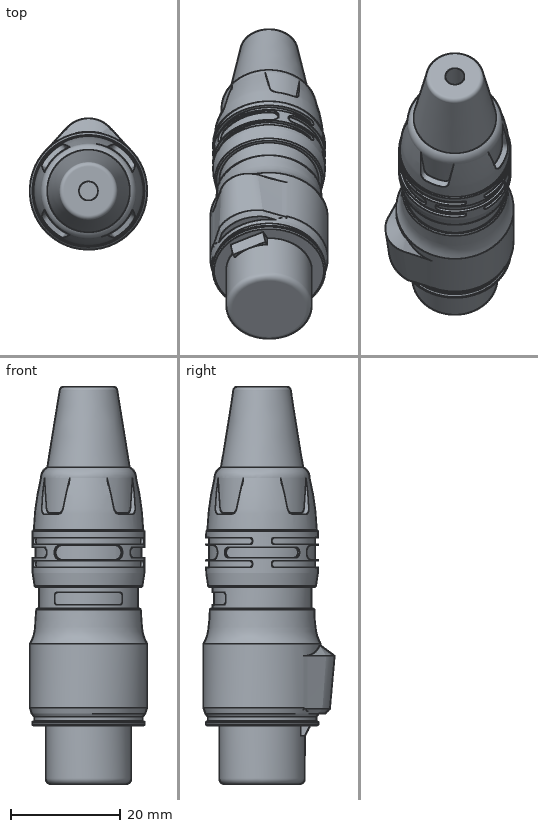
import cadquery as cq
import math

total_height = 72.95

cutter_overhang = 0.7

plug_radius = 7.9
plug_edge = 1.1

flange_bottom = 10.7
flange_top = 11.7
flange_radius = 10.35
flange_edge = 0.3
groove_radius = 10.0
groove_top = 12.4

housing_radius = 10.8
housing_chamfer_bottom = 13.0
housing_chamfer_radius = 10.4
housing_bottom = 14.1
housing_top = 25.75
flare_mid_radius = 10.15
flare_mid_z = 27.2
flare_top = 28.8
flare_top_radius = 9.85
shoulder_top = 32.3
shoulder_radius = 9.6
shoulder_edge = 0.3

neck_radius = 9.1
neck_top = 36.4

band_foot_radius = 9.9
band_edge = 0.3
band_cone_top = 38.8
band_radius = 10.3
band_top = 46.7

body_radius = 10.1
body_mid_radius = 9.6
body_mid_z = 51.6
body_top = 56.2
body_top_radius = 8.75
collar_mid_radius = 8.4
collar_mid_z = 57.4
collar_top = 58.1

boot_base_radius = 7.6
boot_top_radius = 5.3
boot_edge = 0.8
cable_hole_radius = 1.75
cable_hole_depth = 8.75

band_slot_depth = 0.5
slot_center_z = 42.5
groove_offset_z = 2.1
groove_height = 1.25
groove_half_angle = 80.0
front_slot_height = 2.6
front_slot_half_angle = 37.5
side_slot_height = 1.9
side_slot_half_angle = 42.0

plate_width = 12.4
plate_height = 2.3
plate_corner = 0.6
plate_depth = 0.3
plate_center_z = 34.05

pocket_top_width = 6.6
pocket_bottom_width = 4.7
pocket_bottom = 50.0
pocket_corner = 0.9
pocket_draft = 15.0
pocket_floor_radius = body_top_radius

latch_bottom = 13.0
latch_edge = 0.9
latch_skirt = 0.65
latch_flank_lift = 0.3
latch_foot_corner_y = 11.1
latch_foot_reach = 12.5
latch_top = 23.55
latch_top_corner_y = 11.75
latch_top_reach = 13.35
latch_tip = 25.4
latch_tip_inset = 1.3
latch_tip_corner_y = 10.65
latch_tip_reach = 10.9

rib_half_width = 3.35
rib_reach = 8.8
rib_bottom = 8.9


def turned_body():
    """Solid of revolution that carries every other feature."""
    boot_top = total_height - boot_edge
    edge_arc = boot_edge * (1 - math.sqrt(0.5))
    plug_arc = plug_edge * (1 - math.sqrt(0.5))
    profile = (
        cq.Workplane("XZ")
        .moveTo(0, 0)
        .lineTo(plug_radius - plug_edge, 0)
        .threePointArc((plug_radius - plug_arc, plug_arc), (plug_radius, plug_edge))
        .lineTo(plug_radius, flange_bottom)
        .lineTo(flange_radius - flange_edge, flange_bottom)
        .lineTo(flange_radius, flange_bottom + flange_edge)
        .lineTo(flange_radius, flange_top - flange_edge)
        .lineTo(groove_radius, flange_top)
        .lineTo(groove_radius, groove_top)
        .lineTo(housing_chamfer_radius, housing_chamfer_bottom)
        .lineTo(housing_radius, housing_bottom)
        .lineTo(housing_radius, housing_top)
        .threePointArc((flare_mid_radius, flare_mid_z), (flare_top_radius, flare_top))
        .lineTo(shoulder_radius, shoulder_top - shoulder_edge)
        .lineTo(shoulder_radius - shoulder_edge, shoulder_top)
        .lineTo(neck_radius, shoulder_top)
        .lineTo(neck_radius, neck_top - band_edge)
        .lineTo(band_foot_radius - band_edge, neck_top - band_edge)
        .lineTo(band_foot_radius, neck_top)
        .lineTo(band_radius, band_cone_top)
        .lineTo(band_radius, band_top - band_edge)
        .lineTo(body_radius, band_top)
        .threePointArc((body_mid_radius, body_mid_z), (body_top_radius, body_top))
        .threePointArc((collar_mid_radius, collar_mid_z), (boot_base_radius, collar_top))
        .lineTo(boot_top_radius, boot_top)
        .threePointArc(
            (boot_top_radius - edge_arc, total_height - edge_arc),
            (boot_top_radius - boot_edge, total_height),
        )
        .lineTo(0, total_height)
        .close()
    )
    return profile.revolve(360, (0, 0, 0), (0, 1, 0))


def annulus(inner_radius, outer_radius, center_z, height):
    """Plain ring about the axis, centred on a height."""
    return (
        cq.Workplane("XY", origin=(0, 0, center_z - height / 2))
        .circle(outer_radius)
        .circle(inner_radius)
        .extrude(height)
    )


def band_slot(azimuth, half_angle, height, center_z):
    """Round ended slot that follows the band, centred on an azimuth measured from +X."""
    floor_radius = band_radius - band_slot_depth
    outer_radius = band_radius + cutter_overhang
    straight_half = half_angle - math.degrees(height / 2 / band_radius)
    slot = (
        cq.Workplane("XZ")
        .moveTo((floor_radius + outer_radius) / 2, center_z)
        .rect(outer_radius - floor_radius, height)
        .revolve(2 * straight_half, (0, 0, 0), (0, 1, 0))
        .rotate((0, 0, 0), (0, 0, 1), -straight_half)
    )
    ring = annulus(floor_radius, outer_radius, center_z, height)
    for end in (-straight_half, straight_half):
        round_end = (
            cq.Workplane("YZ")
            .center(0, center_z)
            .circle(height / 2)
            .extrude(outer_radius)
            .rotate((0, 0, 0), (0, 0, 1), end)
        )
        slot = slot.union(round_end.intersect(ring))
    return slot.rotate((0, 0, 0), (0, 0, 1), azimuth)


def name_plate_recess():
    """Rounded rectangle on the -Y side whose floor follows the neck."""
    plate = (
        cq.Workplane("XZ", origin=(0, 0, plate_center_z))
        .rect(plate_width, plate_height)
        .extrude(neck_radius)
        .edges("|Y")
        .fillet(plate_corner)
    )
    floor_radius = neck_radius - plate_depth
    return plate.intersect(annulus(floor_radius, neck_radius + cutter_overhang, plate_center_z, plate_height))


def finger_pocket(azimuth):
    """Tapered pocket with rounded lower corners, drafted walls and a cylindrical floor."""
    outline = (
        cq.Sketch()
        .polygon(
            [
                (-pocket_top_width / 2, body_top),
                (-pocket_bottom_width / 2, pocket_bottom),
                (pocket_bottom_width / 2, pocket_bottom),
                (pocket_top_width / 2, body_top),
                (-pocket_top_width / 2, body_top),
            ]
        )
        .vertices("<Y")
        .fillet(pocket_corner)
    )
    start = math.sqrt(pocket_floor_radius**2 - (pocket_top_width / 2) ** 2)
    cutter = (
        cq.Workplane("YZ", origin=(start, 0, 0))
        .placeSketch(outline)
        .extrude(band_radius - start, taper=-pocket_draft)
    )
    height = 2 * (body_top - pocket_bottom)
    ring = annulus(pocket_floor_radius, band_radius + cutter_overhang, body_top - height / 2, height)
    return cutter.intersect(ring).rotate((0, 0, 0), (0, 0, 1), azimuth)


def latch_section(z, inset, corner_y, reach):
    """Closed wire: 45 degree skirts, slightly steeper flanks and a round cap.

    With no inset the skirts are tangent to the housing.
    """
    base = housing_radius * math.sqrt(0.5) - inset
    corner_x = 2 * base - corner_y + latch_flank_lift
    skirt = (base - latch_skirt, base + latch_skirt)
    return (
        cq.Workplane("XY", origin=(0, 0, z))
        .moveTo(-base, base)
        .lineTo(-skirt[0], skirt[1])
        .lineTo(-corner_x, corner_y)
        .threePointArc((0, reach), (corner_x, corner_y))
        .lineTo(*skirt)
        .lineTo(base, base)
        .close()
        .val()
    )


def latch():
    """Bevelled foot, cap leaning outwards with height, and a hipped tip."""
    edge_y = latch_foot_corner_y - latch_edge
    sections = [
        latch_section(latch_bottom, latch_edge / 2, edge_y, latch_foot_reach - latch_edge),
        latch_section(latch_bottom + latch_edge, 0, latch_foot_corner_y, latch_foot_reach),
        latch_section(latch_top, 0, latch_top_corner_y, latch_top_reach),
        latch_section(latch_tip, latch_tip_inset, latch_tip_corner_y, latch_tip_reach),
    ]
    return cq.Workplane(cq.Solid.makeLoft(sections, True))


def ramp_rib():
    """Rib whose outer face slopes from under the flange onto the plug barrel."""
    return (
        cq.Workplane("YZ")
        .moveTo(0, flange_bottom)
        .lineTo(rib_reach, flange_bottom)
        .lineTo(plug_radius, rib_bottom)
        .lineTo(0, rib_bottom)
        .close()
        .extrude(rib_half_width, both=True)
    )


def cable_hole():
    """Blind hole from the top of the boot."""
    return (
        cq.Workplane("XY", origin=(0, 0, total_height - cable_hole_depth))
        .circle(cable_hole_radius)
        .extrude(cable_hole_depth)
    )


result = turned_body().union(latch()).union(ramp_rib())

for azimuth in (-90, 90):
    for offset in (-groove_offset_z, groove_offset_z):
        groove_z = slot_center_z + offset
        result = result.cut(band_slot(azimuth, groove_half_angle, groove_height, groove_z))
    result = result.cut(band_slot(azimuth, front_slot_half_angle, front_slot_height, slot_center_z))
for azimuth in (0, 180):
    result = result.cut(band_slot(azimuth, side_slot_half_angle, side_slot_height, slot_center_z))
for azimuth in (45, 135, 225, 315):
    result = result.cut(finger_pocket(azimuth))
result = result.cut(name_plate_recess())
result = result.cut(cable_hole())